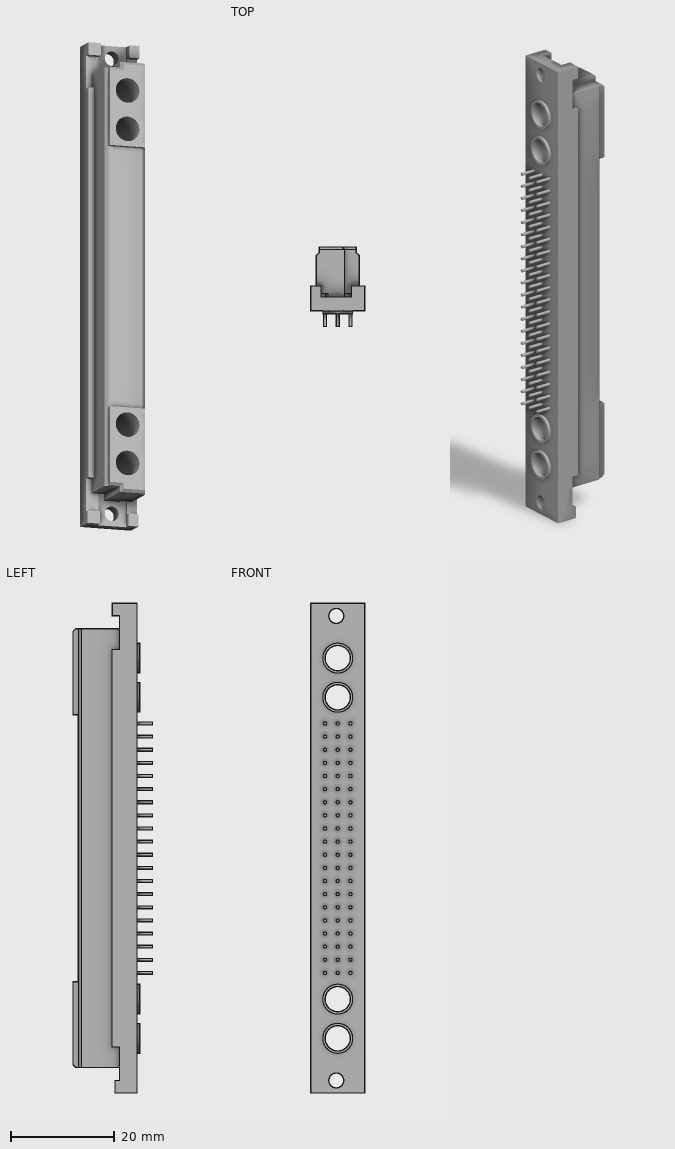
import cadquery as cq

base_length = 94.9
base_width = 10.5
base_depth = 4.8
lower_ear_depth = 4.3

groove_floor = 3.4
groove_inner = 38.5
groove_outer = 45.0

channel_center = -0.3
channel_width = 5.9
channel_floor = 2.75
ear_hole_position = 45.0
ear_hole_diameter = 2.8

body_width = 8.35
body_length = 85.0
body_back = 11.4
body_edge_chamfer = 0.7

neck_left = -1.9
neck_right = 1.3
key_step = 1.1

pad_width = 7.2
pad_inner = 25.8
pad_back = 12.4
pad_chamfer = 0.6

bushing_positions = (29.2, 36.8)
bushing_outer = 5.8
bushing_bore = 4.8
bushing_projection = 0.6
pin_rows = 20
pin_columns = 3
pin_row_span = 48.3
pin_column_pitch = 2.5
pin_diameter = 0.6
pin_projection = 3.0

half_length = base_length / 2
body_end = body_length / 2
END_SIGNS = (1, -1)


def block(x_range, y_range, z_range):
    """Box given by two opposite limits on each axis; the limits may come in either order."""
    limits = [sorted(pair) for pair in (x_range, y_range, z_range)]
    size = [high - low for low, high in limits]
    start = [low for low, high in limits]
    return cq.Workplane("XY").box(*size, centered=False).translate(tuple(start))


def cylinder(x, z, diameter, y_start, y_end):
    """Round bar along Y."""
    start = cq.Vector(x, y_start, z)
    bar = cq.Solid.makeCylinder(diameter / 2, y_end - y_start, start, cq.Vector(0, 1, 0))
    return cq.Workplane(obj=bar)


def make_base():
    half_width = base_width / 2
    full_x = (-half_width, half_width)
    channel_x = (channel_center - channel_width / 2, channel_center + channel_width / 2)
    base = block(full_x, (0, base_depth), (-half_length, half_length))
    base = base.cut(block(full_x, (lower_ear_depth, base_depth), (-half_length, -groove_outer)))
    for sign in END_SIGNS:
        groove_z = (sign * groove_inner, sign * groove_outer)
        channel_z = (sign * groove_inner, sign * half_length)
        base = base.cut(block(full_x, (groove_floor, base_depth), groove_z))
        base = base.cut(block(channel_x, (channel_floor, base_depth), channel_z))
        base = base.cut(cylinder(channel_center, sign * ear_hole_position, ear_hole_diameter, 0, base_depth))
    return base


def make_pad(sign, key_notch):
    """Raised pad whose stepped end is bevelled along its back edge."""
    half_width = pad_width / 2
    pad = block((-half_width, half_width), (groove_floor, pad_back), (sign * pad_inner, sign * body_end))
    margin = pad_chamfer / 2
    end_edges = cq.selectors.BoxSelector(
        (-half_width + margin, pad_back - margin, sign * (pad_inner + margin)),
        (half_width - margin, pad_back + margin, sign * half_length),
    )
    return pad.cut(key_notch).edges(end_edges).chamfer(pad_chamfer)


def make_housing():
    half_width = body_width / 2
    housing = block((-half_width, half_width), (groove_floor, body_back), (-body_end, body_end))
    housing = housing.faces(">Y").edges("|Z").chamfer(body_edge_chamfer)
    for sign in END_SIGNS:
        notch_z = (sign * (body_end - key_step), sign * body_end)
        neck_z = (sign * groove_inner, sign * body_end)
        key_notch = block((neck_right, half_width), (groove_floor, pad_back), notch_z)
        neck = block((neck_left, neck_right), (channel_floor, groove_floor), neck_z)
        housing = housing.cut(key_notch).union(make_pad(sign, key_notch)).union(neck)
    return housing


def add_bushings(part):
    for sign in END_SIGNS:
        for position in bushing_positions:
            z = sign * position
            part = part.union(cylinder(0, z, bushing_outer, -bushing_projection, base_depth))
            part = part.cut(cylinder(0, z, bushing_bore, -bushing_projection, pad_back))
    return part


def make_pins():
    pin_length = pin_projection + base_depth
    row_pitch = pin_row_span / (pin_rows - 1)
    return (
        cq.Workplane("XZ", origin=(0, base_depth, 0))
        .rarray(pin_column_pitch, row_pitch, pin_columns, pin_rows)
        .circle(pin_diameter / 2)
        .extrude(pin_length)
    )


result = add_bushings(make_base().union(make_housing())).union(make_pins())